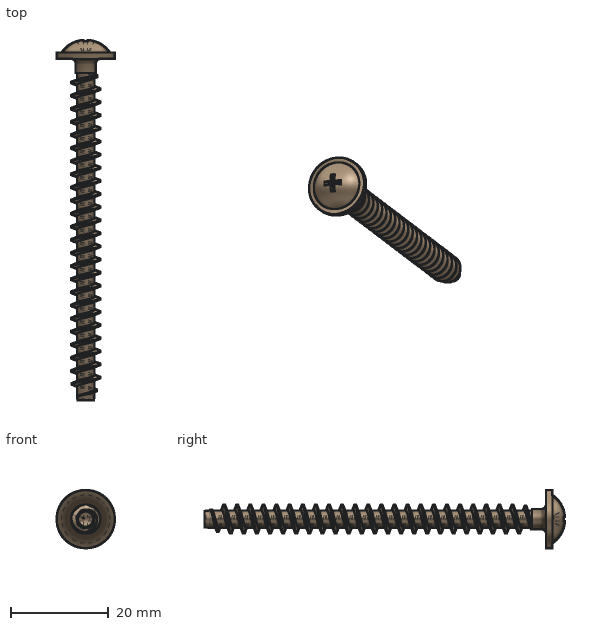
import cadquery as cq
import math

total_length = 73.9
head_height = 3.9
shank_length = total_length - head_height

flange_diameter = 12.0
flange_thickness = 1.3
dome_diameter = 9.9

neck_diameter = 4.2
neck_length = 2.9
neck_fillet = 0.8

core_diameter = 3.6
crest_diameter = 6.0
thread_start = 0.8
thread_length = 67.2
thread_turns = 25
pitch = thread_length / thread_turns
runout_turns = 1.0
start_angle = -160.0
root_width = 0.95
crest_width = 0.15
buried_depth = 0.15
tooth_depth = (crest_diameter - core_diameter) / 2
crest_margin = 0.1
runout_depth = tooth_depth + crest_margin

tip_diameter = 3.4
tip_taper_length = 1.1
dish_diameter = 3.1
dish_depth = 0.4

recess_span = 3.9
recess_bottom_span = 1.6
recess_slot_width = 0.8
recess_depth = 2.2


def make_body():
    """Tip, core, neck, flange and dome as one turned shape with its axis on Z."""
    core_radius = core_diameter / 2
    neck_radius = neck_diameter / 2
    dome_radius = dome_diameter / 2
    flange_radius = flange_diameter / 2
    flange_top = shank_length + flange_thickness
    neck_start = shank_length - neck_length

    corner_radius = recess_slot_width / math.sqrt(2)
    corner_height = total_length - flange_top
    center_rise = (corner_radius**2 + corner_height**2 - dome_radius**2) / (2 * corner_height)
    sphere_center = flange_top + center_rise
    sphere_radius = math.hypot(dome_radius, center_rise)
    half_angle = math.asin(dome_radius / sphere_radius) / 2
    dome_middle = (
        sphere_radius * math.sin(half_angle),
        sphere_center + sphere_radius * math.cos(half_angle),
    )

    dish_radius = dish_diameter / 2
    dish_sphere_radius = (dish_radius**2 + dish_depth**2) / (2 * dish_depth)
    dish_half_angle = math.asin(dish_radius / dish_sphere_radius) / 2
    dish_middle = (
        dish_sphere_radius * math.sin(dish_half_angle),
        dish_depth - dish_sphere_radius * (1 - math.cos(dish_half_angle)),
    )

    return (
        cq.Workplane("XZ")
        .moveTo(0, dish_depth)
        .threePointArc(dish_middle, (dish_radius, 0))
        .lineTo(tip_diameter / 2, 0)
        .lineTo(core_radius, tip_taper_length)
        .lineTo(core_radius, neck_start)
        .lineTo(neck_radius, neck_start)
        .lineTo(neck_radius, shank_length - neck_fillet)
        .radiusArc((neck_radius + neck_fillet, shank_length), neck_fillet)
        .lineTo(flange_radius, shank_length)
        .lineTo(flange_radius, flange_top)
        .lineTo(dome_radius, flange_top)
        .threePointArc(dome_middle, (0, sphere_center + sphere_radius))
        .close()
        .revolve(360, (0, 0, 0), (0, 1, 0))
    )


def make_helix(radius, height, turns, turns_before, radius_growth):
    """Helical edge that starts turns_before turns into the thread, on a cone if the radius grows."""
    rise = turns * pitch
    if radius_growth == 0:
        helix = cq.Wire.makeHelix(pitch, rise, radius)
    else:
        cone_angle = math.atan2(radius_growth, rise)
        stretch = 1 / math.cos(cone_angle)
        helix = cq.Wire.makeHelix(
            pitch * stretch, rise * stretch, radius, angle=math.degrees(cone_angle)
        )
    turned = helix.rotate(cq.Vector(), cq.Vector(0, 0, 1), 360 * turns_before)
    return turned.translate(cq.Vector(0, 0, height + turns_before * pitch)).Edges()[0]


def make_thread():
    """Tapered tooth wound around Z that rises out of the core and sinks back into it."""
    core_radius = core_diameter / 2
    crest_radius = crest_diameter / 2
    flank_slope = (root_width - crest_width) / 2 / tooth_depth
    base_half = root_width / 2 + buried_depth * flank_slope
    crest_half = crest_width / 2
    tooth = [
        (core_radius - buried_depth, -base_half),
        (crest_radius, -crest_half),
        (crest_radius, crest_half),
        (core_radius - buried_depth, base_half),
    ]

    stretches = [
        (0, runout_turns, runout_depth, runout_depth),
        (runout_turns, thread_turns - 2 * runout_turns, 0, 0),
        (thread_turns - runout_turns, runout_turns, 0, -runout_depth),
    ]

    faces = []
    end_edges = []
    for turns_before, turns, start_sink, growth in stretches:
        edges = [
            make_helix(radius - start_sink, height, turns, turns_before, growth)
            for radius, height in tooth
        ]
        for index, edge in enumerate(edges):
            faces.append(cq.Face.makeRuledSurface(edges[index - 1], edge))
        end_edges.append(edges)

    start_corners = [edge.startPoint() for edge in end_edges[0]]
    finish_corners = [edge.endPoint() for edge in end_edges[-1]]
    for corners in (start_corners, finish_corners):
        faces.append(cq.Face.makeFromWires(cq.Wire.makePolygon(corners, close=True)))

    thread = cq.Solid.makeSolid(cq.Shell.makeShell(faces))
    thread = thread.rotate(cq.Vector(), cq.Vector(0, 0, 1), start_angle)
    return cq.Workplane(thread.translate(cq.Vector(0, 0, thread_start)))


def make_recess():
    """Two crossed slots whose ends narrow towards the bottom of the recess."""
    floor = cq.Workplane("XY").workplane(offset=total_length - recess_depth)
    cut_height = 2 * recess_depth
    flare = (recess_span - recess_bottom_span) / 2 / recess_depth
    cone_top_radius = recess_bottom_span / 2 + cut_height * flare
    cone = (
        floor.circle(recess_bottom_span / 2)
        .workplane(offset=cut_height)
        .circle(cone_top_radius)
        .loft()
    )
    slot_length = 2 * cone_top_radius
    slots = floor.rect(slot_length, recess_slot_width).extrude(cut_height)
    slots = slots.union(floor.rect(recess_slot_width, slot_length).extrude(cut_height))
    return slots.intersect(cone)


screw = make_body().union(make_thread()).cut(make_recess())

result = screw.rotate((0, 0, 0), (1, 0, 0), -90).solids()